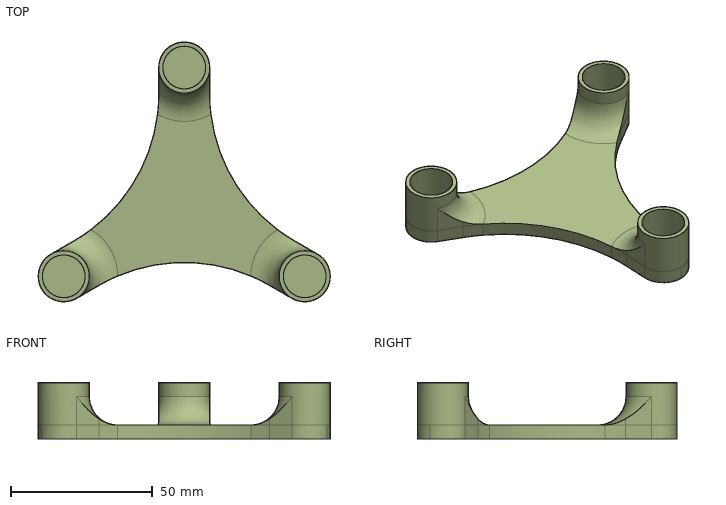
import cadquery as cq
import math

overall_width = 102.9
socket_diameter = 18.0
bore_diameter = 15.0
socket_height = 20.0
plate_thickness = 5.0
flare_radius = 10.0
side_radius = 60.0
arm_angles = (90, 210, 330)

socket_radius = socket_diameter / 2
half_spacing = (overall_width - socket_diameter) / 2
arm_length = half_spacing / math.cos(math.radians(30))
side_half_angle = math.radians(30)
side_end_x = side_radius * math.sin(side_half_angle)
tangent_x = half_spacing - socket_radius * math.sin(side_half_angle)
tangent_y = -arm_length / 2 - socket_radius * math.cos(side_half_angle)
side_end_y = tangent_y + (tangent_x - side_end_x) * math.tan(side_half_angle)
side_middle_y = side_end_y + side_radius * (1 - math.cos(side_half_angle))


def turned(x, y, angle):
    """Rotate a point about the part centre by an angle in degrees."""
    a = math.radians(angle)
    return (x * math.cos(a) - y * math.sin(a), x * math.sin(a) + y * math.cos(a))


def outline_prism(height):
    """Three-armed outline: concave sides running tangentially into round ends."""
    outline = cq.Workplane("XY").moveTo(-tangent_x, tangent_y)
    for turn in (0, 120, 240):
        outline = (
            outline.lineTo(*turned(-side_end_x, side_end_y, turn))
            .threePointArc(turned(0, side_middle_y, turn), turned(side_end_x, side_end_y, turn))
            .lineTo(*turned(tangent_x, tangent_y, turn))
            .threePointArc(
                turned(arm_length + socket_radius, 0, turn - 30),
                turned(-tangent_x, tangent_y, turn + 120),
            )
        )
    return outline.close().extrude(height)


def arm_flare():
    """Inward half of a socket on the Z axis, flaring toward -X down to the plate."""
    flare_top = plate_thickness + flare_radius
    flare_outer = socket_radius + flare_radius
    diagonal = flare_radius * math.sqrt(0.5)
    return (
        cq.Workplane("YZ")
        .lineTo(flare_outer, 0)
        .lineTo(flare_outer, plate_thickness)
        .threePointArc((flare_outer - diagonal, flare_top - diagonal), (socket_radius, flare_top))
        .lineTo(0, flare_top)
        .close()
        .revolve(180, (0, 0, 0), (0, 1, 0))
    )


plate = outline_prism(plate_thickness)
envelope = outline_prism(plate_thickness + flare_radius)
socket = cq.Workplane("XY").circle(socket_radius).extrude(socket_height)
bore = (
    cq.Workplane("XY", origin=(0, 0, plate_thickness))
    .circle(bore_diameter / 2)
    .extrude(socket_height - plate_thickness)
)

result = plate
for angle in arm_angles:
    placement = cq.Location(cq.Vector(*turned(arm_length, 0, angle)), cq.Vector(0, 0, 1), angle)
    flare = cq.Workplane(arm_flare().val().moved(placement)).intersect(envelope, clean=False)
    arm = flare.union(cq.Workplane(socket.val().moved(placement)), clean=False)
    result = result.union(arm, clean=False)
    result = result.cut(cq.Workplane(bore.val().moved(placement)), clean=False)